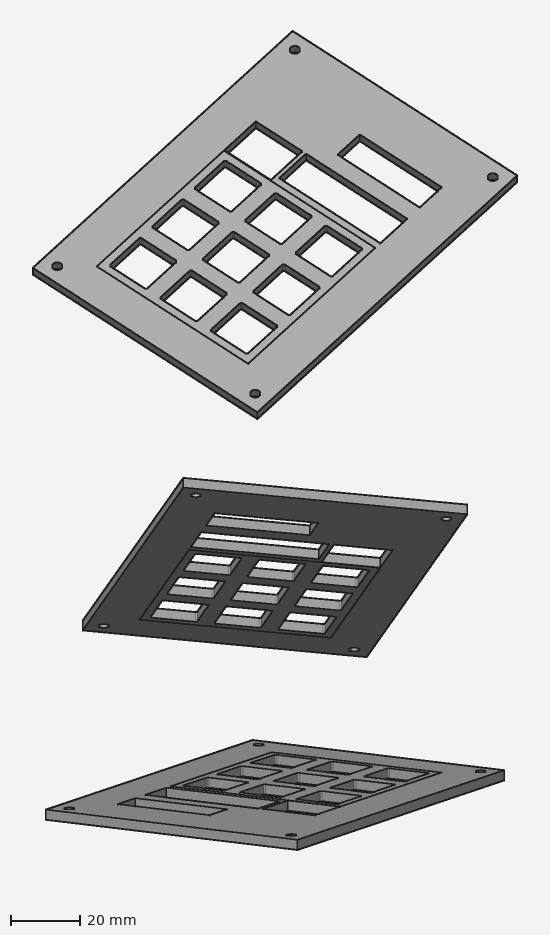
import cadquery as cq

PLATE_WIDTH = 85.0
PLATE_LENGTH = 117.0
THICKNESS = 3.0

MOUNT_HOLE_DIAMETER = 2.9
MOUNT_HOLE_INSET = 5.0

KEY_COUNT = 3
KEY_PITCH = 19.1
KEY_OPENING = 13.9
KEY_CORNER_RADIUS = 0.5
KEYPAD_SIZE = KEY_COUNT * KEY_PITCH
KEYPAD_CENTER_Y = -17.5
KEYPAD_RIGHT = KEYPAD_SIZE / 2
KEYPAD_LEFT = -KEYPAD_RIGHT
KEYPAD_TOP = KEYPAD_CENTER_Y + KEYPAD_SIZE / 2

SQUARE_WINDOW_WIDTH = 17.5
SQUARE_WINDOW_HEIGHT = 14.2
WEB_BELOW_SQUARE_WINDOW = 0.2
LONG_WINDOW_WIDTH = 38.3
LONG_WINDOW_HEIGHT = 12.0
UPPER_WINDOW_WIDTH = 31.0
UPPER_WINDOW_HEIGHT = 10.0
UPPER_WINDOW_GAP = 5.6

WINDOW_ROW_TOP = KEYPAD_TOP + WEB_BELOW_SQUARE_WINDOW + SQUARE_WINDOW_HEIGHT
UPPER_WINDOW_TOP = WINDOW_ROW_TOP + UPPER_WINDOW_GAP + UPPER_WINDOW_HEIGHT


def block(left, top, width, height):
    """Full-thickness rectangular block placed by its left and top edges."""
    return (
        cq.Workplane("XY")
        .center(left + width / 2, top - height / 2)
        .rect(width, height)
        .extrude(THICKNESS)
    )


def keypad_block():
    """Outer shape of the keypad, also the opening that receives it."""
    return block(KEYPAD_LEFT, KEYPAD_TOP, KEYPAD_SIZE, KEYPAD_SIZE)


def make_plate():
    """Plate with corner holes, three windows and the keypad opening."""
    plate = block(-PLATE_WIDTH / 2, PLATE_LENGTH / 2, PLATE_WIDTH, PLATE_LENGTH)

    hole_spacing_x = PLATE_WIDTH - 2 * MOUNT_HOLE_INSET
    hole_spacing_y = PLATE_LENGTH - 2 * MOUNT_HOLE_INSET
    mount_holes = (
        cq.Workplane("XY")
        .rect(hole_spacing_x, hole_spacing_y, forConstruction=True)
        .vertices()
        .circle(MOUNT_HOLE_DIAMETER / 2)
        .extrude(THICKNESS)
    )
    square_window = block(KEYPAD_LEFT, WINDOW_ROW_TOP, SQUARE_WINDOW_WIDTH, SQUARE_WINDOW_HEIGHT)
    long_window = block(
        KEYPAD_RIGHT - LONG_WINDOW_WIDTH, WINDOW_ROW_TOP, LONG_WINDOW_WIDTH, LONG_WINDOW_HEIGHT
    )
    upper_window = block(
        KEYPAD_RIGHT - UPPER_WINDOW_WIDTH, UPPER_WINDOW_TOP, UPPER_WINDOW_WIDTH, UPPER_WINDOW_HEIGHT
    )

    for opening in (mount_holes, square_window, long_window, upper_window, keypad_block()):
        plate = plate.cut(opening)
    return plate


def make_keypad():
    """Keypad insert with a square grid of round-cornered key openings."""
    key_openings = (
        cq.Workplane("XY")
        .center(0, KEYPAD_CENTER_Y)
        .rarray(KEY_PITCH, KEY_PITCH, KEY_COUNT, KEY_COUNT)
        .rect(KEY_OPENING, KEY_OPENING)
        .extrude(THICKNESS)
        .edges("|Z")
        .fillet(KEY_CORNER_RADIUS)
    )
    return keypad_block().cut(key_openings)


plate = make_plate()
keypad = make_keypad()

result = cq.Compound.makeCompound([plate.val(), keypad.val()])